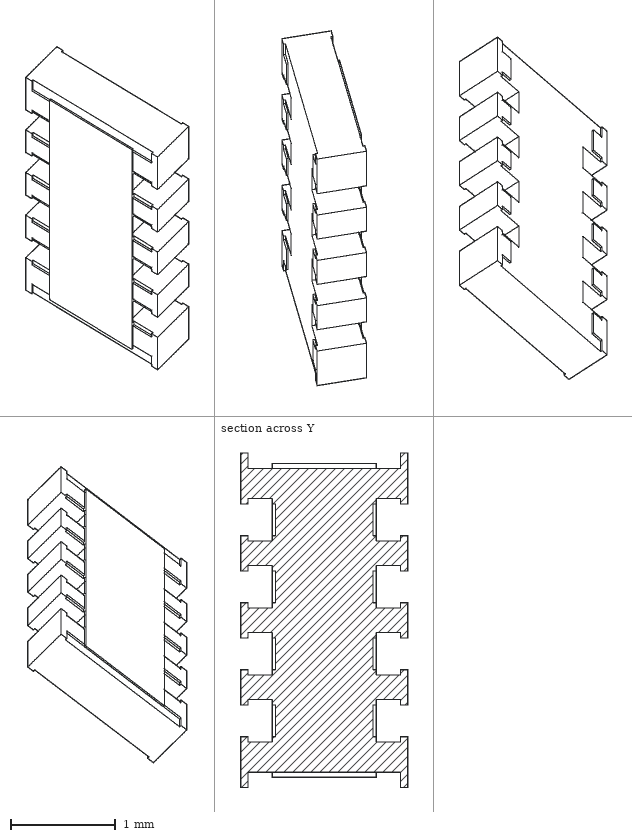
import cadquery as cq

LENGTH = 3.2
WIDTH = 1.6
DEPTH = 0.5

TERMINAL_COUNT = 5
PITCH = 0.64
NOTCH_HEIGHT = 0.3
NOTCH_DEPTH = 0.333

METAL_THICKNESS = 0.02
CAP_WIDTH = 0.075
BACK_PAD_WIDTH = 0.2
PAD_MARGIN = 0.05
END_PAD_MARGIN = 0.147

COVER_THICKNESS = 0.015
COVER_WIDTH = 1.0
COVER_END_MARGIN = 0.1

COVER_FRONT = -DEPTH / 2
METAL_FRONT = COVER_FRONT + COVER_THICKNESS
BODY_FRONT = METAL_FRONT + METAL_THICKNESS
METAL_BACK = DEPTH / 2
BODY_BACK = METAL_BACK - METAL_THICKNESS


def block(x_range, y_range, z_range):
    """Return a box filling the given (low, high) ranges."""
    corner = cq.Vector(x_range[0], y_range[0], z_range[0])
    sides = [high - low for low, high in (x_range, y_range, z_range)]
    return cq.Workplane(obj=cq.Solid.makeBox(*sides, pnt=corner))


def centred(size):
    """Return the (low, high) range of a size centred on zero."""
    return (-size / 2, size / 2)


def terminal_ranges(index):
    """Return the Z ranges of a terminal's end cap and of its narrower pads."""
    middle = (index - (TERMINAL_COUNT - 1) / 2) * PITCH
    low = middle - (PITCH - NOTCH_HEIGHT) / 2
    high = middle + (PITCH - NOTCH_HEIGHT) / 2
    low_margin = PAD_MARGIN
    high_margin = PAD_MARGIN
    if index == 0:
        low = -LENGTH / 2
        low_margin = END_PAD_MARGIN
    if index == TERMINAL_COUNT - 1:
        high = LENGTH / 2
        high_margin = END_PAD_MARGIN
    return (low, high), (low + low_margin, high - high_margin)


def ceramic_body():
    """Return the slab and its raised front layer, notched along both long sides."""
    body = block(centred(WIDTH), (BODY_FRONT, BODY_BACK), centred(LENGTH))
    layer_z = centred(LENGTH - 2 * END_PAD_MARGIN)
    body = body.union(block(centred(COVER_WIDTH), (METAL_FRONT, BODY_FRONT), layer_z))
    for gap in range(TERMINAL_COUNT - 1):
        notch_middle = (gap - (TERMINAL_COUNT - 2) / 2) * PITCH
        notch_z = (notch_middle - NOTCH_HEIGHT / 2, notch_middle + NOTCH_HEIGHT / 2)
        notch = block(
            (-WIDTH / 2, -WIDTH / 2 + NOTCH_DEPTH), (METAL_FRONT, BODY_BACK), notch_z
        )
        body = body.cut(notch).cut(notch.mirror("YZ"))
    return body


def terminal(index):
    """Return the metal of one left-hand terminal: end cap, back pad and front pad."""
    cap_z, pad_z = terminal_ranges(index)
    left = -WIDTH / 2
    cap = block((left, left + CAP_WIDTH), (METAL_FRONT, METAL_BACK), cap_z)
    back_pad = block((left, left + BACK_PAD_WIDTH), (BODY_BACK, METAL_BACK), pad_z)
    front_pad = block((left, left + NOTCH_DEPTH), (METAL_FRONT, BODY_FRONT), pad_z)
    return cap.union(back_pad).union(front_pad)


def cover():
    """Return the thin rectangular plate that forms the front of the part."""
    cover_z = centred(LENGTH - 2 * COVER_END_MARGIN)
    return block(centred(COVER_WIDTH), (COVER_FRONT, METAL_FRONT), cover_z)


result = ceramic_body().union(cover())
for terminal_index in range(TERMINAL_COUNT):
    left_terminal = terminal(terminal_index)
    result = result.union(left_terminal).union(left_terminal.mirror("YZ"))